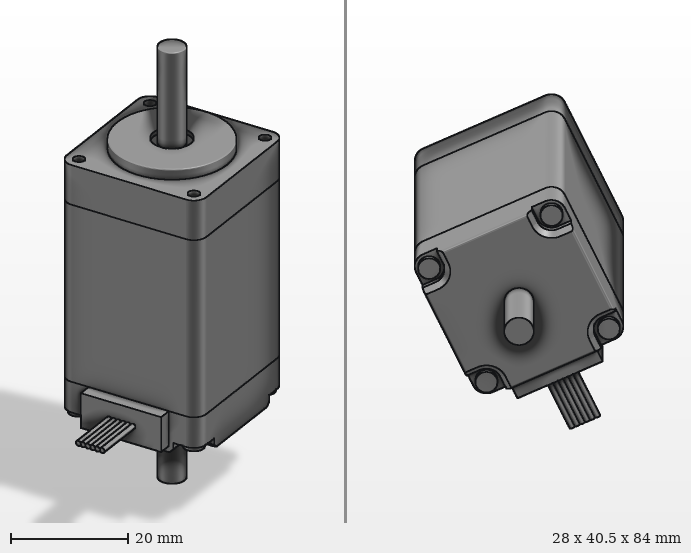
import cadquery as cq
import math

frame_width = 28.0
corner_radius = 2.5
rear_cap_length = 8.2
stator_length = 34.5
front_cap_length = 7.7
rear_edge_fillet = 0.5

pilot_diameter = 22.0
pilot_height = 2.0
recess_diameter = 7.5
recess_depth = 0.8

shaft_diameter = 5.0
rear_shaft_length = 13.5
shaft_length = 84.0

rim_fillet = 0.25

screw_spacing = 23.0
mount_hole_diameter = 2.2
mount_hole_depth = 4.0
drill_point_angle = 118.0
screw_head_diameter = 3.8
screw_head_height = 1.0

pocket_radius = 2.6
pocket_depth = 2.3
pocket_flare = 1.0
pocket_flare_angle = 45.0

connector_width = 16.05
connector_depth = 2.5
connector_height = 6.8

wire_count = 6
wire_diameter = 1.0
wire_pitch = 0.95
wire_length = 10.0

frame_side = frame_width / 2
screw_offset = screw_spacing / 2
corner_points = [(x, y) for x in (-screw_offset, screw_offset) for y in (-screw_offset, screw_offset)]
front_cap_base = rear_cap_length + stator_length
frame_front = front_cap_base + front_cap_length
pilot_front = frame_front + pilot_height


def frame_section(base_z, length):
    """Rounded square length of the motor frame, bored for the shaft."""
    return (
        cq.Workplane("XY", origin=(0, 0, base_z))
        .rect(frame_width, frame_width)
        .extrude(length)
        .edges("|Z")
        .fillet(corner_radius)
        .cut(shaft_rod())
    )


def shaft_rod():
    """Plain rod of the full shaft length, also used to bore the frame."""
    return (
        cq.Workplane("XY", origin=(0, 0, -rear_shaft_length))
        .circle(shaft_diameter / 2)
        .extrude(shaft_length)
    )


def mounting_hole():
    """Blind hole at the origin, drilled down from z = 0 and ending in a drill point."""
    radius = mount_hole_diameter / 2
    point_length = radius / math.tan(math.radians(drill_point_angle / 2))
    return (
        cq.Workplane("XZ")
        .polyline([
            (0, 0),
            (radius, 0),
            (radius, -mount_hole_depth),
            (0, -mount_hole_depth - point_length),
        ])
        .close()
        .revolve(360, (0, 0), (0, 1))
    )


def make_front_cap():
    """Front cap with the pilot boss, the recess around the shaft and four mounting holes."""
    pilot = (
        cq.Workplane("XY", origin=(0, 0, frame_front))
        .circle(pilot_diameter / 2)
        .extrude(pilot_height)
        .faces(">Z")
        .edges()
        .fillet(rim_fillet)
        .cut(shaft_rod())
    )
    recess = (
        cq.Workplane("XY", origin=(0, 0, pilot_front))
        .circle(recess_diameter / 2)
        .extrude(-recess_depth)
    )
    cap = frame_section(front_cap_base, front_cap_length).union(pilot).cut(recess)
    for x, y in corner_points:
        cap = cap.cut(mounting_hole().translate((x, y, frame_front)))
    return cap


def pocket_layer(base_z, height, flare_angle):
    """Block open past the outer +X +Y corner, rounded around the screw, its sides sloping by flare_angle."""
    inner_side = screw_offset - pocket_radius
    width = frame_width - inner_side
    centre = inner_side + width / 2
    outline = cq.Sketch().rect(width, width).vertices().fillet(pocket_radius)
    return (
        cq.Workplane("XY", origin=(centre, centre, base_z))
        .placeSketch(outline)
        .extrude(height, taper=flare_angle)
    )


def make_rear_cap():
    """Rear cap with a rounded rear outer edge and one screw pocket at each corner."""
    section = frame_section(0, rear_cap_length)
    outer_edges = section.faces("<Z").wires().first().edges().vals()
    cap = section.newObject(outer_edges).fillet(rear_edge_fillet)
    straight = pocket_layer(pocket_flare, pocket_depth - pocket_flare, 0)
    flare = pocket_layer(pocket_flare, -pocket_flare, -pocket_flare_angle)
    pocket = straight.union(flare)
    for quarter in range(4):
        cap = cap.cut(pocket.rotate((0, 0, 0), (0, 0, 1), quarter * 90))
    return cap


def make_shaft():
    return shaft_rod().faces(">Z").edges().fillet(rim_fillet)


def make_screws():
    """Screw heads standing on the pocket floors."""
    return (
        cq.Workplane("XY", origin=(0, 0, pocket_depth))
        .pushPoints(corner_points)
        .circle(screw_head_diameter / 2)
        .extrude(-screw_head_height)
    )


def make_wired_connector():
    """Connector block with its wire ribbon, level with the front end of the rear cap."""
    block_front = -frame_side - connector_depth
    block_middle_z = rear_cap_length - connector_height / 2
    connector = cq.Workplane("XY").box(connector_width, connector_depth, connector_height)
    connector = connector.translate((0, block_front + connector_depth / 2, block_middle_z))
    for index in range(wire_count):
        wire_x = (index - (wire_count - 1) / 2) * wire_pitch
        wire = (
            cq.Workplane("XZ", origin=(wire_x, block_front, block_middle_z))
            .circle(wire_diameter / 2)
            .extrude(wire_length)
        )
        connector = connector.union(wire)
    return connector


front_cap = make_front_cap()
stator = frame_section(rear_cap_length, stator_length)
rear_cap = make_rear_cap()
shaft = make_shaft()
screws = make_screws()
wired_connector = make_wired_connector()

result = cq.Compound.makeCompound([
    front_cap.val(),
    stator.val(),
    rear_cap.val(),
    shaft.val(),
    *screws.vals(),
    wired_connector.val(),
])